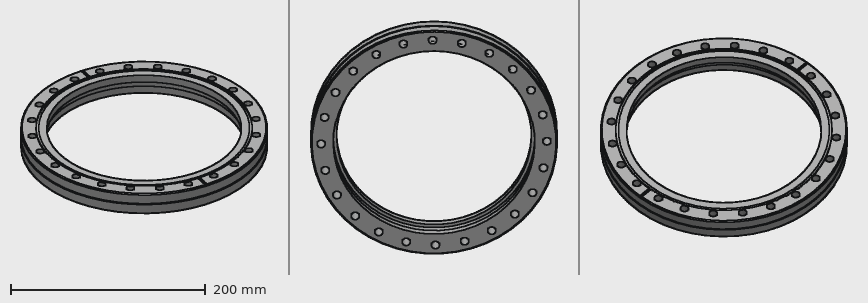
import cadquery as cq

outer_radius = 126.5
height = 24.5
edge_chamfer = 1.3

rim_groove_width = 1.3
rim_groove_depth = 0.5

bolt_count = 24
bolt_circle_radius = 116.0
bolt_hole_diameter = 8.4
bolt_pitch_angle = 360 / bolt_count

leak_groove_radius = 1.0
leak_groove_angle = bolt_pitch_angle / 2

seat_radius = 111.2
seat_height = 8.4

bore_radius = 100.0
tube_socket_radius = 103.5
bore_lip_height = 8.4
insert_recess = 0.5
knife_radius = 108.4
knife_drop = 1.0
insert_top = height - insert_recess


def make_outer_ring():
    """Bolted ring whose lower lip carries the insert."""
    groove_top = (height + rim_groove_width) / 2
    groove_bottom = (height - rim_groove_width) / 2
    profile = [
        (tube_socket_radius, 0),
        (outer_radius - edge_chamfer, 0),
        (outer_radius, edge_chamfer),
        (outer_radius, groove_bottom),
        (outer_radius - rim_groove_depth, height / 2),
        (outer_radius, groove_top),
        (outer_radius, height - edge_chamfer),
        (outer_radius - edge_chamfer, height),
        (seat_radius, height),
        (seat_radius, seat_height),
        (tube_socket_radius, seat_height),
    ]
    ring = cq.Workplane("XZ").polyline(profile).close().revolve(360, (0, 0, 0), (0, 1, 0))
    return ring.cut(make_bolt_holes()).cut(make_leak_grooves())


def make_bolt_holes():
    return (
        cq.Workplane("XY")
        .polarArray(bolt_circle_radius, 0, 360, bolt_count)
        .circle(bolt_hole_diameter / 2)
        .extrude(height)
    )


def make_leak_grooves():
    """One bar along a diameter; it cuts a groove on each side of the ring."""
    return (
        cq.Workplane("YZ")
        .center(0, height)
        .circle(leak_groove_radius)
        .extrude(outer_radius, both=True)
        .rotate((0, 0, 0), (0, 0, 1), leak_groove_angle)
    )


def make_insert():
    """Inner ring with a knife edge on top and a tube socket below its bore lip."""
    lip_bottom = insert_top - bore_lip_height
    profile = [
        (tube_socket_radius, seat_height),
        (seat_radius, seat_height),
        (seat_radius, insert_top - knife_drop),
        (knife_radius, insert_top),
        (bore_radius, insert_top),
        (bore_radius, lip_bottom),
        (tube_socket_radius, lip_bottom),
    ]
    return cq.Workplane("XZ").polyline(profile).close().revolve(360, (0, 0, 0), (0, 1, 0))


outer_ring = make_outer_ring()
insert = make_insert()

result = cq.Compound.makeCompound([outer_ring.val(), insert.val()])